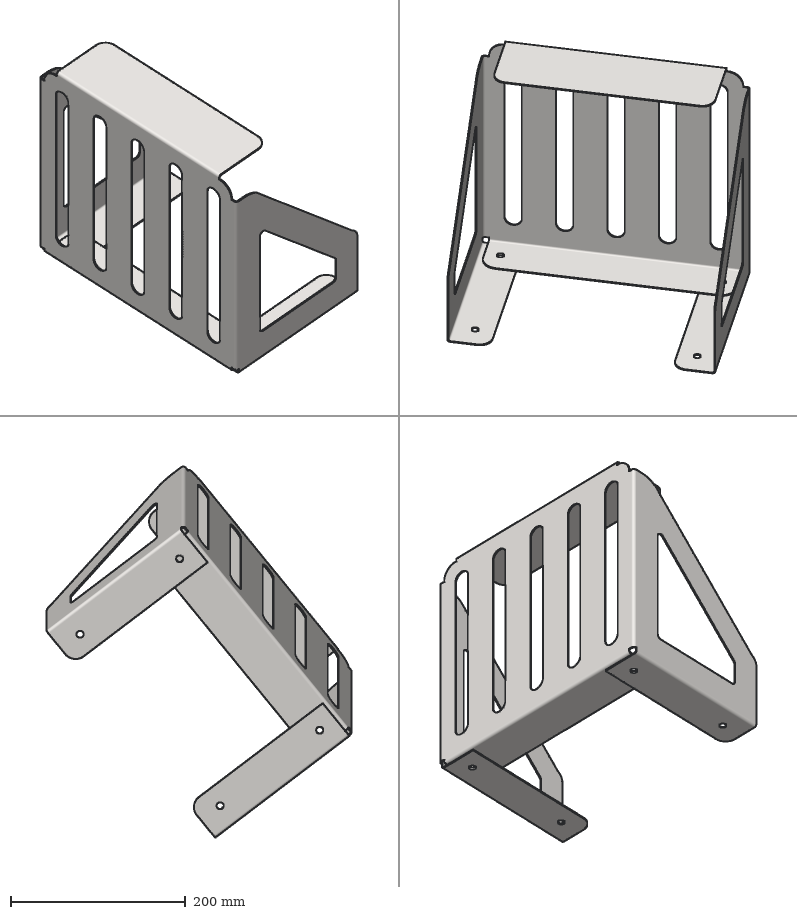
import cadquery as cq
import math

WIDTH = 313.0
DEPTH = 200.0
HEIGHT = 288.0

SHEET = 1.5
INNER_BEND = 2.2
OUTER_BEND = SHEET + INNER_BEND
CORNER_RADIUS = 15.0

RELIEF_X = 8.0
RELIEF_Y = 4.7
RELIEF_Z = 7.0

SIDE_HEIGHT = 263.0
SHOULDER_Z = 282.0
SHOULDER_RADIUS = 18.0
SLOT_COUNT = 5
SLOT_PITCH = 60.0
SLOT_WIDTH = 20.5
SLOT_BOTTOM = 28.8
SLOT_TOP = 262.3

TOP_FLANGE_WIDTH = 258.0
TOP_FLANGE_DEPTH = 80.0
TAB_DEPTH = 53.0
TAB_RADIUS = 18.0
SIDE_FLANGE_WIDTH = 50.0

SLOPE_SUM = 290.8
CREST_RADIUS = 36.0
CREST_ARC_Y = 13.8
REAR_ARC_Z = 85.5

WINDOW_FRONT = 39.0
WINDOW_REAR = 165.0
WINDOW_BOTTOM = 40.0
WINDOW_SLOPE_SUM = 238.2
WINDOW_RADIUS = 5.0

HOLE_DIAMETER = 8.0
HOLE_X = 27.0
HOLE_FRONT_Y = 27.2
HOLE_REAR_Y = DEPTH - 28.0


def bent_angle(plane, leg_x, leg_y, length):
    """L-shaped sheet whose outer corner is the plane origin; signed legs follow the local axes."""
    sx = math.copysign(1, leg_x)
    sy = math.copysign(1, leg_y)
    outer_mid = OUTER_BEND * (1 - math.sqrt(0.5))
    inner_mid = OUTER_BEND - INNER_BEND * math.sqrt(0.5)
    return (
        cq.Workplane(plane)
        .moveTo(sx * OUTER_BEND, 0)
        .lineTo(leg_x, 0)
        .lineTo(leg_x, sy * SHEET)
        .lineTo(sx * OUTER_BEND, sy * SHEET)
        .threePointArc((sx * inner_mid, sy * inner_mid), (sx * SHEET, sy * OUTER_BEND))
        .lineTo(sx * SHEET, leg_y)
        .lineTo(0, leg_y)
        .lineTo(0, sy * OUTER_BEND)
        .threePointArc((sx * outer_mid, sy * outer_mid), (sx * OUTER_BEND, 0))
        .close()
        .extrude(length)
    )


def yz_plane(x, z):
    """Plane with local axes along Y and Z, extruding toward +X."""
    return cq.Plane(origin=(x, 0, z), xDir=(0, 1, 0), normal=(1, 0, 0))


def front_panel():
    """Front wall with its slots, and the bottom tab that rests on the side flanges."""
    panel_width = WIDTH - 2 * RELIEF_X
    panel = bent_angle(yz_plane(RELIEF_X, SHEET), TAB_DEPTH, SHOULDER_Z - SHEET, panel_width)
    panel = panel.edges("|Z and >Y").fillet(TAB_RADIUS)
    panel = panel.edges("|Y and >Z").fillet(SHOULDER_RADIUS)

    slots = (
        cq.Workplane("XZ", origin=(WIDTH / 2, 0, (SLOT_BOTTOM + SLOT_TOP) / 2))
        .rarray(SLOT_PITCH, 3, SLOT_COUNT, 1)
        .slot2D(SLOT_TOP - SLOT_BOTTOM, SLOT_WIDTH, 90)
        .extrude(-SHEET)
    )
    return panel.cut(slots)


def top_flange():
    """Flange folded rearward from a short neck above the shoulders."""
    plane = yz_plane((WIDTH - TOP_FLANGE_WIDTH) / 2, HEIGHT)
    flange = bent_angle(plane, TOP_FLANGE_DEPTH, SHOULDER_Z - HEIGHT, TOP_FLANGE_WIDTH)
    return flange.edges("|Z and >Y").fillet(CORNER_RADIUS)


def arc_point(center, radius, angle):
    """Point on a circle in the YZ plane; the angle is measured from +Y toward +Z."""
    return (center[0] + radius * math.cos(angle), center[1] + radius * math.sin(angle))


def slope_crossing(center, radius):
    """Angle on a circle of its upper crossing with the sloping edge."""
    distance = (SLOPE_SUM - center[0] - center[1]) * math.sqrt(0.5)
    return math.radians(45) + math.acos(distance / radius)


def side_outline():
    """Solid spanning the width, with the side-wall silhouette."""
    crest = ((CREST_ARC_Y, SIDE_HEIGHT - CREST_RADIUS), CREST_RADIUS)
    crest_start = math.radians(90)
    crest_end = slope_crossing(*crest)
    rear = ((DEPTH - CORNER_RADIUS, REAR_ARC_Z), CORNER_RADIUS)
    rear_start = slope_crossing(*rear)
    rear_end = 0

    return (
        cq.Workplane("YZ")
        .moveTo(0, 0)
        .lineTo(0, SIDE_HEIGHT)
        .lineTo(*arc_point(*crest, crest_start))
        .threePointArc(arc_point(*crest, (crest_start + crest_end) / 2), arc_point(*crest, crest_end))
        .lineTo(*arc_point(*rear, rear_start))
        .threePointArc(arc_point(*rear, (rear_start + rear_end) / 2), arc_point(*rear, rear_end))
        .lineTo(DEPTH, 0)
        .close()
        .extrude(WIDTH)
    )


def side_window():
    """Cutter for the four-sided window with rounded corners."""
    return (
        cq.Workplane("YZ")
        .polyline([
            (WINDOW_FRONT, WINDOW_BOTTOM),
            (WINDOW_REAR, WINDOW_BOTTOM),
            (WINDOW_REAR, WINDOW_SLOPE_SUM - WINDOW_REAR),
            (WINDOW_FRONT, WINDOW_SLOPE_SUM - WINDOW_FRONT),
        ])
        .close()
        .extrude(SHEET)
        .edges("|X")
        .fillet(WINDOW_RADIUS)
    )


def left_side():
    """Side wall with its bottom flange and the bend that joins it to the front wall."""
    wall_plane = cq.Plane(origin=(0, DEPTH, 0), xDir=(1, 0, 0), normal=(0, -1, 0))
    wall = bent_angle(wall_plane, SIDE_FLANGE_WIDTH, SIDE_HEIGHT, DEPTH - RELIEF_Y)
    wall = wall.edges("|Z and >X and >Y").fillet(CORNER_RADIUS)

    bend_plane = cq.Plane(origin=(0, 0, RELIEF_Z))
    front_bend = bent_angle(bend_plane, RELIEF_X, RELIEF_Y, SIDE_HEIGHT - RELIEF_Z)

    return wall.union(front_bend).intersect(side_outline()).cut(side_window())


def mounting_holes():
    """Vertical cutters through the side flanges and the tab above them."""
    centers = [(x, y) for x in (HOLE_X, WIDTH - HOLE_X) for y in (HOLE_FRONT_Y, HOLE_REAR_Y)]
    return cq.Workplane("XY").pushPoints(centers).circle(HOLE_DIAMETER / 2).extrude(2 * SHEET)


left = left_side()
right = left.mirror("YZ", (WIDTH / 2, 0, 0))
result = front_panel().union(top_flange()).union(left).union(right).cut(mounting_holes())